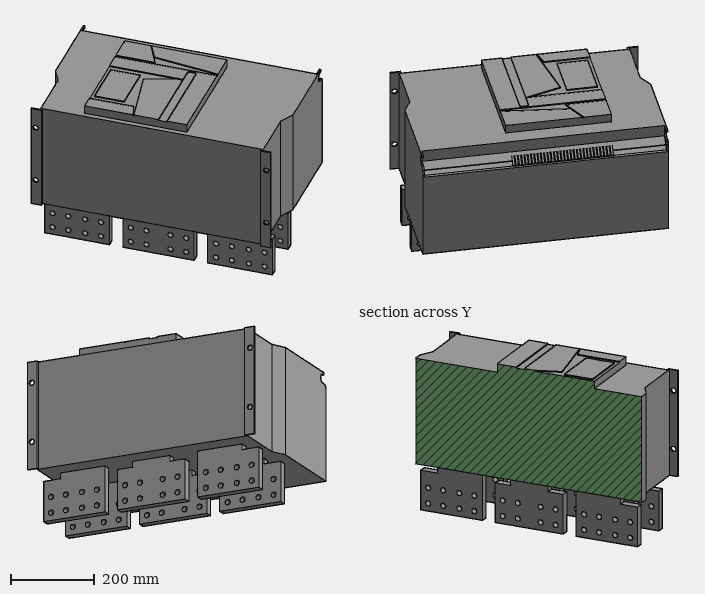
import cadquery as cq


FLANGE_HALF_WIDTH = 302.5
DEPTH = 394.0
CASE_HEIGHT = 271.5
REAR_HALF_WIDTH = 300.0
FRONT_HALF_WIDTH = 281.0
TAPER_FRONT_Y = 139.0
TAPER_REAR_Y = 174.0
SHEET = 4.0

FLANGE_THICKNESS = 4.0
FLANGE_INNER_X = 276.5
CASE_FRONT_Y = 8.5
FLANGE_HOLE_X = 291.3
FLANGE_HOLE_HEIGHTS = (69.0, 218.5)
FLANGE_HOLE_DIAMETER = 13.0

NOTCH_HEIGHT = 22.0
NOTCH_DEPTH = 28.5
LIP_THICKNESS = 6.0
LIP_SETBACK = 10.6
CORNER_CHAMFER = 6.5

RECESS_DEPTH = 32.0
LEDGE_DEPTH = 8.3
SLOPE_BREAK_DEPTH = 16.5
RISER = 1.5
RECESS_CLEARANCE = 1.0
NOTCH_FLOOR_Z = CASE_HEIGHT - LIP_THICKNESS - NOTCH_HEIGHT
SLOPE_TOP_Z = NOTCH_FLOOR_Z - RECESS_CLEARANCE
LEDGE_Z = SLOPE_TOP_Z - RISER - (RECESS_DEPTH - LEDGE_DEPTH)

CONTACT_COUNT = 31
CONTACT_PITCH = 8.0
CONTACT_WIDTH = 5.6
CONTACT_CENTRE_X = -44.5
CONTACT_FLOOR_DROP = 1.5
CONTACT_LOWER_DEPTH = 9.0
CONTACT_UPPER_DEPTH = 24.5

PANEL_LEFT_X = -174.5
PANEL_RIGHT_X = 83.5
PANEL_FRONT_Y = 21.5
PANEL_REAR_Y = 321.0
PANEL_HEIGHT = 21.2
TILE_HEIGHT = 2.5
PANEL_TOP_Z = CASE_HEIGHT + PANEL_HEIGHT
TILE_Z = PANEL_TOP_Z - TILE_HEIGHT
REAR_TILE_FRONT_Y = 255.0
FRONT_TILE_REAR_Y = 249.0
REAR_LEFT_TILE_REAR_X = -108.0
REAR_LEFT_TILE_FRONT_X = -75.5
REAR_RIGHT_TILE_REAR_X = -106.5
REAR_RIGHT_TILE_CORNER = (-84.5, 277.0)
FIELD_REAR_Y = 206.5
FIELD_FRONT_Y = 57.5
FIELD_CORNER = (-79.0, 177.5)
FIELD_NOTCH_X = -62.5
FIELD_FRONT_X = -50.7
GROOVE_WIDTH = 1.5
SLOT_LEFT_X = 11.5
SLOT_WALL = 1.5
SLOT_WIDTH = 21.5
SLOT_REAR_Y = 244.5
SLOT_CORNER_RADIUS = 7.0
WINDOW_SIZE = (75.0, 121.0)
WINDOW_CENTRE = (-129.0, 131.0)

TERMINAL_BOTTOM_Z = -116.3
TERMINAL_SHOULDER_Z = -14.4
TERMINAL_THICKNESS = 20.0
TERMINAL_FRONT_FACES = (57.0, 175.0)
OUTER_TERMINAL_EDGE_X = 287.5
OUTER_TERMINAL_INNER_X = 123.7
OUTER_NECK_EDGE_X = 242.5
MIDDLE_TERMINAL_HALF_WIDTH = 90.2
MIDDLE_NECK_HALF_WIDTH = 49.8
TERMINAL_HOLE_DIAMETER = 13.0
TERMINAL_HOLE_HEIGHTS = (-96.2, -56.4)
OUTER_HOLES_X = (145.4, 185.2, 228.0, 267.8)
MIDDLE_HOLES_X = (-70.0, -30.3, 30.3, 70.0)


def box(x_range, y_range, z_range):
    """Axis-aligned box between pairs of limits."""
    sizes = [high - low for low, high in (x_range, y_range, z_range)]
    corner = (x_range[0], y_range[0], z_range[0])
    return cq.Workplane("XY").box(*sizes, centered=False).translate(corner)


def prism(points, bottom_z, height):
    """Vertical prism over a closed outline."""
    return cq.Workplane("XY").workplane(offset=bottom_z).polyline(points).close().extrude(height)


def make_case():
    """Waisted case with a thin outward flange at each front corner."""
    right_side = [
        (FLANGE_INNER_X, CASE_FRONT_Y),
        (FLANGE_INNER_X, 0),
        (FLANGE_HALF_WIDTH, 0),
        (FLANGE_HALF_WIDTH, FLANGE_THICKNESS),
        (FRONT_HALF_WIDTH, FLANGE_THICKNESS),
        (FRONT_HALF_WIDTH, TAPER_FRONT_Y),
        (REAR_HALF_WIDTH, TAPER_REAR_Y),
        (REAR_HALF_WIDTH, DEPTH),
    ]
    left_side = [(-x, y) for x, y in reversed(right_side)]
    return prism(right_side + left_side, 0, CASE_HEIGHT)


def flange_holes():
    centres = [(x, z) for x in (-FLANGE_HOLE_X, FLANGE_HOLE_X) for z in FLANGE_HOLE_HEIGHTS]
    drills = cq.Workplane("XZ").pushPoints(centres).circle(FLANGE_HOLE_DIAMETER / 2)
    return drills.extrude(-FLANGE_THICKNESS)


def rear_notch():
    """Round-ended notch under a short lip, running the full width of the case."""
    radius = NOTCH_HEIGHT / 2
    notch_roof_z = NOTCH_FLOOR_Z + NOTCH_HEIGHT
    arc_start_y = DEPTH - NOTCH_DEPTH + radius
    lip_end_y = DEPTH - LIP_SETBACK
    profile = (
        cq.Workplane("YZ", origin=(-REAR_HALF_WIDTH, 0, 0))
        .moveTo(DEPTH, NOTCH_FLOOR_Z - CORNER_CHAMFER)
        .lineTo(DEPTH - CORNER_CHAMFER, NOTCH_FLOOR_Z)
        .lineTo(arc_start_y, NOTCH_FLOOR_Z)
        .threePointArc((DEPTH - NOTCH_DEPTH, NOTCH_FLOOR_Z + radius), (arc_start_y, notch_roof_z))
        .lineTo(lip_end_y, notch_roof_z)
        .lineTo(lip_end_y, CASE_HEIGHT)
        .lineTo(DEPTH, CASE_HEIGHT)
        .close()
    )
    return profile.extrude(2 * REAR_HALF_WIDTH)


def rear_recess():
    """Space between the side sheets above a rear ledge and a 45 degree slope with a small riser."""
    break_z = LEDGE_Z + SLOPE_BREAK_DEPTH - LEDGE_DEPTH
    inner_half_width = REAR_HALF_WIDTH - SHEET
    profile = (
        cq.Workplane("YZ", origin=(-inner_half_width, 0, 0))
        .moveTo(DEPTH, LEDGE_Z)
        .lineTo(DEPTH - LEDGE_DEPTH, LEDGE_Z)
        .lineTo(DEPTH - SLOPE_BREAK_DEPTH, break_z)
        .lineTo(DEPTH - SLOPE_BREAK_DEPTH, break_z + RISER)
        .lineTo(DEPTH - RECESS_DEPTH, SLOPE_TOP_Z)
        .lineTo(DEPTH - RECESS_DEPTH, CASE_HEIGHT)
        .lineTo(DEPTH, CASE_HEIGHT)
        .close()
    )
    return profile.extrude(2 * inner_half_width)


def contact_pockets():
    """Row of pockets across the slope, each floor running out into the slope at its upper end."""
    upper_end_z = SLOPE_TOP_Z - (RECESS_DEPTH - CONTACT_UPPER_DEPTH)
    profile = [
        (DEPTH - CONTACT_LOWER_DEPTH, LEDGE_Z - CONTACT_FLOOR_DROP),
        (DEPTH - CONTACT_UPPER_DEPTH, upper_end_z),
        (DEPTH - CONTACT_LOWER_DEPTH, upper_end_z),
    ]
    first_x = CONTACT_CENTRE_X - (CONTACT_COUNT - 1) * CONTACT_PITCH / 2 - CONTACT_WIDTH / 2
    pockets = cq.Workplane("YZ")
    for index in range(CONTACT_COUNT):
        left_x = first_x + index * CONTACT_PITCH
        cutter = cq.Workplane("YZ", origin=(left_x, 0, 0)).polyline(profile).close()
        pockets.add(cutter.extrude(CONTACT_WIDTH))
    return cq.Workplane(cq.Compound.makeCompound(pockets.vals()))


def make_panel():
    """Slab with raised tiles separated by low channels and a sunken field."""
    slab = box((PANEL_LEFT_X, PANEL_RIGHT_X), (PANEL_FRONT_Y, PANEL_REAR_Y), (CASE_HEIGHT, TILE_Z))
    rear_left_tile = [
        (PANEL_LEFT_X, PANEL_REAR_Y),
        (REAR_LEFT_TILE_REAR_X, PANEL_REAR_Y),
        (REAR_LEFT_TILE_FRONT_X, REAR_TILE_FRONT_Y),
        (PANEL_LEFT_X, REAR_TILE_FRONT_Y),
    ]
    rear_right_tile = [
        (REAR_RIGHT_TILE_REAR_X, PANEL_REAR_Y),
        (PANEL_RIGHT_X, PANEL_REAR_Y),
        (PANEL_RIGHT_X, REAR_TILE_FRONT_Y),
        REAR_RIGHT_TILE_CORNER,
    ]
    front_tile = box(
        (PANEL_LEFT_X, PANEL_RIGHT_X), (PANEL_FRONT_Y, FRONT_TILE_REAR_Y), (TILE_Z, PANEL_TOP_Z)
    )
    sunken_field = [
        (PANEL_LEFT_X, FIELD_REAR_Y),
        (SLOT_LEFT_X - SLOT_WALL, FIELD_REAR_Y),
        FIELD_CORNER,
        (FIELD_FRONT_X, PANEL_FRONT_Y),
        (FIELD_FRONT_X - GROOVE_WIDTH, PANEL_FRONT_Y),
        (FIELD_NOTCH_X, FIELD_FRONT_Y),
        (PANEL_LEFT_X, FIELD_FRONT_Y),
    ]
    slot = box(
        (SLOT_LEFT_X, SLOT_LEFT_X + SLOT_WIDTH), (PANEL_FRONT_Y, SLOT_REAR_Y), (TILE_Z, PANEL_TOP_Z)
    )
    slot = slot.edges("|Z and >Y").fillet(SLOT_CORNER_RADIUS)
    window = (
        cq.Workplane("XY", origin=(*WINDOW_CENTRE, TILE_Z)).rect(*WINDOW_SIZE).extrude(TILE_HEIGHT)
    )
    front_tile = front_tile.cut(prism(sunken_field, TILE_Z, TILE_HEIGHT)).cut(slot)
    panel = slab.union(front_tile).union(window)
    for outline in (rear_left_tile, rear_right_tile):
        panel = panel.union(prism(outline, TILE_Z, TILE_HEIGHT))
    return panel


def make_terminal(front_y, blade_x, neck_x, holes_x):
    """Drilled blade below the case, joined to it by a narrower neck."""
    y_range = (front_y, front_y + TERMINAL_THICKNESS)
    blade = box(blade_x, y_range, (TERMINAL_BOTTOM_Z, TERMINAL_SHOULDER_Z))
    neck = box(neck_x, y_range, (TERMINAL_SHOULDER_Z, 0))
    centres = [(x, z) for x in holes_x for z in TERMINAL_HOLE_HEIGHTS]
    drills = (
        cq.Workplane("XZ", origin=(0, front_y, 0))
        .pushPoints(centres)
        .circle(TERMINAL_HOLE_DIAMETER / 2)
        .extrude(-TERMINAL_THICKNESS)
    )
    return blade.union(neck).cut(drills)


def make_terminal_row(front_y):
    """Middle terminal between two mirrored outer ones."""
    right = make_terminal(
        front_y,
        (OUTER_TERMINAL_INNER_X, OUTER_TERMINAL_EDGE_X),
        (OUTER_TERMINAL_INNER_X, OUTER_NECK_EDGE_X),
        OUTER_HOLES_X,
    )
    middle = make_terminal(
        front_y,
        (-MIDDLE_TERMINAL_HALF_WIDTH, MIDDLE_TERMINAL_HALF_WIDTH),
        (-MIDDLE_NECK_HALF_WIDTH, MIDDLE_NECK_HALF_WIDTH),
        MIDDLE_HOLES_X,
    )
    return [right.mirror("YZ"), middle, right]


part = make_case().cut(flange_holes()).cut(rear_notch()).cut(rear_recess()).cut(contact_pockets())
part = part.union(make_panel())
for terminal_front_y in TERMINAL_FRONT_FACES:
    for terminal in make_terminal_row(terminal_front_y):
        part = part.union(terminal)

result = part